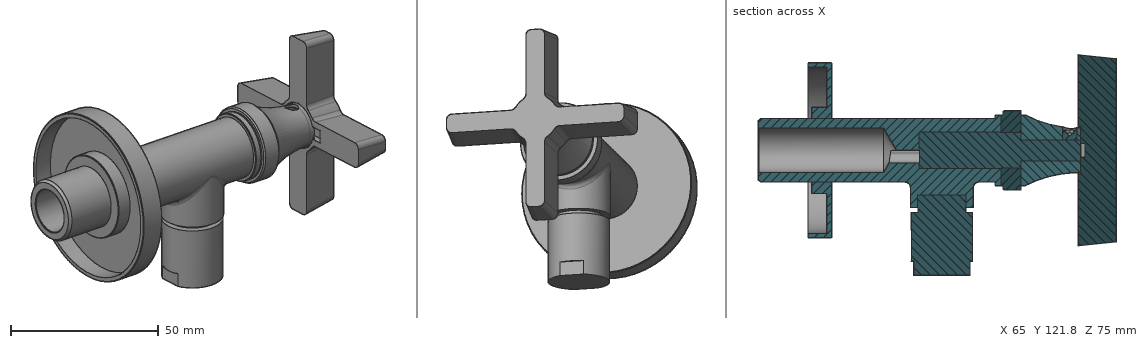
import cadquery as cq
import math


overall_length = 121.8
handle_back = 108.8

pipe_radius = 10.8
pipe_end_chamfer_length = 1.0
pipe_end_chamfer_depth = 0.7
ring_radius = 12.0
ring_start = 80.5
ring_end = 82.7
ring_chamfer = 0.2
branch_radius = 10.7
branch_y = 62.5
branch_bottom = -19.5
branch_fillet = 1.8

bore_radius = 7.5
bore_chamfer = 0.2
bore_depth = 42.6
bore_cone_depth = 4.4
port_half_width = 3.3
port_height = 4.3

barrel_radius = 6.1
barrel_start = 54.8
spindle_radius = 3.7

collar_radius = 13.5
collar_lip_end = 83.2
collar_end = 89.4
collar_chamfer = 0.5

bonnet_radius = ring_radius
flare_start = 90.7
flare_middle_y = 99.1
flare_middle_radius = 8.9
neck_radius = 7.7
neck_start = 107.8
neck_recess_depth = 1.0
neck_end = handle_back + neck_recess_depth

screw_y = 106.0
screw_radius = 2.3
screw_top = 6.8
screw_chamfer = 0.4
socket_across_corners = 2.9
socket_depth = 1.0
socket_point_radius = 1.0
socket_point_depth = 1.0

handle_thickness = overall_length - handle_back
arm_half_length = 32.5
arm_half_width = 4.6
handle_draft = 5.9
arm_fillet = 2.0
hub_radius = 9.4
root_fillet = 2.3
neck_recess_radius = 8.2
slot_end_x = 11.9
slot_half_width = 2.3
slot_depth = 2.3

flange_radius = 29.8
flange_start = 16.9
flange_end = 25.1
flange_edge_chamfer = 0.2
flange_bore_radius = 28.3
flange_web = 1.8
hub_ring_radius = 14.7
hub_ring_recess = 1.2
hub_ring_chamfer = 0.2

nipple_radius = 10.5
nipple_top = -21.1
nipple_bottom = -42.5
nipple_neck_radius = 8.2
nipple_neck_top = -15.2
flat_half_spacing = 9.6
flat_height = 4.8


def cylinder_y(radius, start, end):
    """Solid cylinder on the valve axis between two y positions."""
    return cq.Workplane("XZ", origin=(0, start, 0)).circle(radius).extrude(start - end)


def cylinder_z(radius, y, bottom, top):
    """Solid cylinder parallel to Z on the YZ mid-plane."""
    return cq.Workplane("XY", origin=(0, y, bottom)).circle(radius).extrude(top - bottom)


def make_inlet_bore():
    """Blind inlet bore that ends in a cone."""
    profile = cq.Workplane("XY").polyline([
        (0, 0),
        (bore_radius + bore_chamfer, 0),
        (bore_radius, bore_chamfer),
        (bore_radius, bore_depth),
        (0, bore_depth + bore_cone_depth),
    ])
    return profile.close().revolve(360, (0, 0), (0, 1))


def make_port():
    """D-shaped passage below the axis, from the bore floor to the cartridge."""
    straight = port_height - port_half_width
    return (
        cq.Workplane("XZ", origin=(0, bore_depth, 0))
        .moveTo(-port_half_width, 0)
        .lineTo(-port_half_width, -straight)
        .threePointArc((0, -port_height), (port_half_width, -straight))
        .lineTo(port_half_width, 0)
        .close()
        .extrude(bore_depth - barrel_start)
    )


def is_branch_join(edge):
    """True for the curve where the outlet branch meets the pipe."""
    center = edge.Center()
    beside_branch = abs(center.y - branch_y) < branch_radius
    return beside_branch and edge.geomType() not in ("LINE", "CIRCLE")


def make_valve_body():
    pipe = cylinder_y(pipe_radius, 0, ring_start)
    branch = cylinder_z(branch_radius, branch_y, branch_bottom, 0)
    body = pipe.union(branch)
    body = body.edges().filter(is_branch_join).fillet(branch_fillet)
    body = body.faces("<Y").chamfer(pipe_end_chamfer_length, pipe_end_chamfer_depth)
    ring = cylinder_y(ring_radius, ring_start, ring_end).faces("<Y").chamfer(ring_chamfer)
    body = body.union(ring)
    body = body.cut(make_inlet_bore()).cut(make_port())
    body = body.cut(cylinder_y(barrel_radius, barrel_start, ring_end))
    return body.cut(cylinder_z(nipple_neck_radius, branch_y, branch_bottom, nipple_neck_top))


def make_cartridge():
    barrel = cylinder_y(barrel_radius, barrel_start, collar_end)
    return barrel.union(cylinder_y(spindle_radius, collar_end, neck_end))


def make_collar():
    lip = cylinder_y(ring_radius, ring_end, collar_lip_end)
    nut = cylinder_y(collar_radius, collar_lip_end, collar_end).faces("<Y").chamfer(collar_chamfer)
    return lip.union(nut).cut(cylinder_y(barrel_radius, ring_end, collar_end))


def make_bonnet():
    flared = (
        cq.Workplane("XY")
        .moveTo(0, collar_end)
        .lineTo(bonnet_radius, collar_end)
        .lineTo(bonnet_radius, flare_start)
        .threePointArc((flare_middle_radius, flare_middle_y), (neck_radius, neck_start))
        .lineTo(neck_radius, neck_end)
        .lineTo(0, neck_end)
        .close()
        .revolve(360, (0, 0), (0, 1))
    )
    spindle_hole = cylinder_y(spindle_radius, collar_end, neck_end)
    screw_hole = cylinder_z(screw_radius, screw_y, 0, pipe_radius)
    return flared.cut(spindle_hole).cut(screw_hole)


def make_set_screw():
    screw = cylinder_z(screw_radius, screw_y, 0, screw_top).faces(">Z").chamfer(screw_chamfer)
    screw = screw.faces(">Z").workplane().polygon(6, socket_across_corners).cutBlind(-socket_depth)
    point = cq.Solid.makeCone(
        socket_point_radius,
        0,
        socket_point_depth,
        pnt=cq.Vector(0, screw_y, screw_top - socket_depth),
        dir=cq.Vector(0, 0, -1),
    )
    return screw.cut(cq.Workplane(point)).cut(cylinder_y(spindle_radius, collar_end, neck_end))


def make_arm_pair(half_x, half_z):
    """Bar across the axis that narrows towards +Y, with its four long edges rounded."""
    bar = (
        cq.Workplane("XZ", origin=(0, handle_back, 0))
        .rect(2 * half_x, 2 * half_z)
        .extrude(-handle_thickness, taper=handle_draft)
    )
    return bar.edges("not #Y").fillet(arm_fillet)


def is_arm_root(edge):
    """True for the long edges where an arm leaves the hub."""
    middle = edge.positionAt(0.5)
    is_long = edge.Length() >= handle_thickness
    return is_long and math.hypot(middle.x, middle.z) < hub_radius


def make_handle():
    hub = (
        cq.Workplane("XZ", origin=(0, handle_back, 0))
        .circle(hub_radius)
        .extrude(-handle_thickness, taper=handle_draft)
    )
    arms_x = make_arm_pair(arm_half_length, arm_half_width)
    arms_z = make_arm_pair(arm_half_width, arm_half_length)
    handle = hub.union(arms_x).union(arms_z)
    handle = handle.edges().filter(is_arm_root).fillet(root_fillet)
    neck_recess = cylinder_y(neck_recess_radius, handle_back, neck_end)
    slot = (
        cq.Workplane("XY", origin=(0, handle_back, 0))
        .box(slot_end_x, slot_depth, 2 * slot_half_width, centered=(False, False, True))
    )
    return handle.cut(neck_recess).cut(slot)


def make_flange():
    flange = cylinder_y(flange_radius, flange_start, flange_end)
    flange = flange.faces("<Y or >Y").edges().chamfer(flange_edge_chamfer)
    flange = flange.cut(cylinder_y(flange_bore_radius, flange_start, flange_end - flange_web))
    hub_ring = cylinder_y(hub_ring_radius, flange_start + hub_ring_recess, flange_end)
    hub_ring = hub_ring.faces("<Y").chamfer(hub_ring_chamfer)
    return flange.union(hub_ring).cut(cylinder_y(pipe_radius, flange_start, flange_end))


def make_nipple():
    nipple = cylinder_z(nipple_radius, branch_y, nipple_bottom, nipple_top)
    flat_depth = nipple_radius - flat_half_spacing
    for side in (-1, 1):
        flat_y = branch_y + side * (flat_half_spacing + flat_depth / 2)
        cutter = cq.Workplane("XY", origin=(0, flat_y, nipple_bottom)).rect(2 * nipple_radius, flat_depth)
        nipple = nipple.cut(cutter.extrude(flat_height))
    return nipple.union(cylinder_z(nipple_neck_radius, branch_y, nipple_top, nipple_neck_top))


valve_body = make_valve_body()
cartridge = make_cartridge()
collar = make_collar()
bonnet = make_bonnet()
set_screw = make_set_screw()
handle = make_handle()
flange = make_flange()
nipple = make_nipple()

result = cq.Compound.makeCompound([
    valve_body.val(),
    cartridge.val(),
    collar.val(),
    bonnet.val(),
    set_screw.val(),
    handle.val(),
    flange.val(),
    nipple.val(),
])